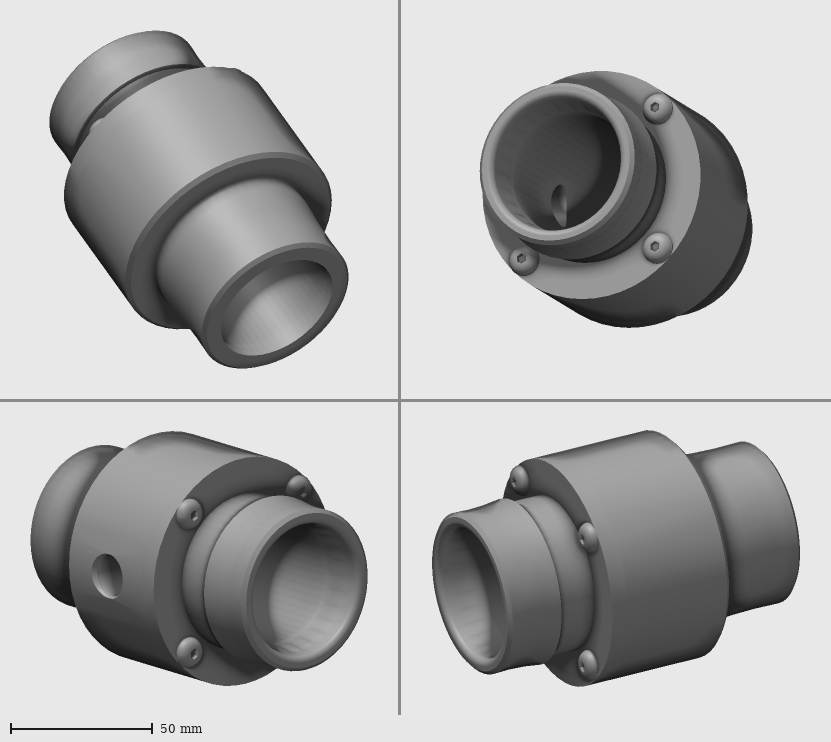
import cadquery as cq
import math


overall_length = 117.47
hose_length = 34.8
plate_thickness = 6.35
body_length = 47.7
plate_face = hose_length
joint_face = plate_face + plate_thickness
body_end = plate_face + body_length

body_diameter = 82.56
bore_diameter = 44.45
body_radius = body_diameter / 2
bore_radius = bore_diameter / 2

stub_radius = 60.33 / 2
end_chamfer_length = 1.3
end_face_radius = 27.95
end_shoulder_radius = 29.35

barb_length = 20.4
barb_waist_radius = 29.2
groove_radius = 56.39 / 2
mouth_fillet = 2.38
mouth_radius = 23.85
mouth_taper_end = 15.5

stub_straight_end = 87.3
stub_waist_radius = 29.25
neck_fillet = 1.4
body_chamfer = 1.5

port_diameter = 15.08
port_mouth_diameter = 17.1
port_countersink_depth = 1.6
port_x = plate_face + 25.4

screw_offset = 71.44 / 2 / math.sqrt(2)
screw_diameter = 6.35
clearance_diameter = 7.14
screw_length = 19.05
head_radius = 11.1 / 2
head_height = 3.35
head_rim_height = 0.7
head_flat_radius = 2.2
socket_flats = 3.3
socket_depth = 2.0

screw_positions = [(y * screw_offset, z * screw_offset) for y in (-1, 1) for z in (-1, 1)]


def turn(profile):
    """Revolve a closed (x, radius) profile about the X axis."""
    return profile.close().revolve(360, (0, 0, 0), (1, 0, 0))


def rod_along_x(diameter, start, length, centers):
    """Cylinders along +X at the given (y, z) centres."""
    return cq.Workplane("YZ", origin=(start, 0, 0)).pushPoints(centers).circle(diameter / 2).extrude(length)


def make_cover():
    """Flange plate with the grooved hose barb and its rounded, tapered mouth."""
    fillet_middle = mouth_fillet * (1 - math.sqrt(0.5))
    profile = (
        cq.Workplane("XY")
        .moveTo(0, mouth_radius + mouth_fillet)
        .lineTo(0, end_face_radius)
        .lineTo(end_chamfer_length, end_shoulder_radius)
        .threePointArc(
            ((end_chamfer_length + barb_length) / 2, barb_waist_radius),
            (barb_length, stub_radius),
        )
        .lineTo(barb_length, groove_radius)
        .lineTo(plate_face, groove_radius)
        .lineTo(plate_face, body_radius)
        .lineTo(joint_face, body_radius)
        .lineTo(joint_face, bore_radius)
        .lineTo(mouth_taper_end, bore_radius)
        .lineTo(mouth_fillet, mouth_radius)
        .threePointArc((fillet_middle, mouth_radius + fillet_middle), (0, mouth_radius + mouth_fillet))
    )
    clearance_holes = rod_along_x(clearance_diameter, plate_face, plate_thickness, screw_positions)
    return turn(profile).cut(clearance_holes)


def make_side_port():
    """Cutter for the countersunk radial port, from the axis out to +Y."""
    hole = cq.Workplane("XZ", origin=(port_x, 0, 0)).circle(port_diameter / 2).extrude(-body_radius)
    countersink = (
        cq.Workplane("XZ", origin=(port_x, body_radius, 0))
        .circle(port_mouth_diameter / 2)
        .workplane(offset=port_countersink_depth)
        .circle(port_diameter / 2)
        .loft()
    )
    return hole.union(countersink)


def make_housing():
    """Round body and outlet stub, with the side port and the tapped holes for the screws."""
    fillet_middle = neck_fillet * (1 - math.sqrt(0.5))
    stub_shoulder = overall_length - end_chamfer_length
    profile = (
        cq.Workplane("XY")
        .moveTo(joint_face, bore_radius)
        .lineTo(joint_face, body_radius)
        .lineTo(body_end - body_chamfer, body_radius)
        .lineTo(body_end, body_radius - body_chamfer)
        .lineTo(body_end, stub_radius + neck_fillet)
        .threePointArc(
            (body_end + fillet_middle, stub_radius + fillet_middle),
            (body_end + neck_fillet, stub_radius),
        )
        .lineTo(stub_straight_end, stub_radius)
        .threePointArc(
            ((stub_straight_end + stub_shoulder) / 2, stub_waist_radius),
            (stub_shoulder, end_shoulder_radius),
        )
        .lineTo(overall_length, end_face_radius)
        .lineTo(overall_length, bore_radius)
    )
    tapped_holes = rod_along_x(screw_diameter, joint_face, screw_length - plate_thickness, screw_positions)
    return turn(profile).cut(tapped_holes).cut(make_side_port())


def make_screw(y, z):
    """Button-head screw pointing along +X with its head seated on the cover plate."""
    head_top = plate_face - head_height
    dome_width = head_radius - head_flat_radius
    dome_height = head_height - head_rim_height
    dome_sweep = 2 * math.atan(dome_height / dome_width)
    dome_radius = dome_width / math.sin(dome_sweep)
    dome_middle = (
        head_top + dome_radius * (1 - math.cos(dome_sweep / 2)),
        head_flat_radius + dome_radius * math.sin(dome_sweep / 2),
    )
    profile = (
        cq.Workplane("XY")
        .moveTo(head_top, 0)
        .lineTo(head_top, head_flat_radius)
        .threePointArc(dome_middle, (plate_face - head_rim_height, head_radius))
        .lineTo(plate_face, head_radius)
        .lineTo(plate_face, screw_diameter / 2)
        .lineTo(plate_face + screw_length, screw_diameter / 2)
        .lineTo(plate_face + screw_length, 0)
    )
    top_plane = cq.Workplane("YZ", origin=(head_top, 0, 0))
    hexagon_corners = socket_flats / math.cos(math.pi / 6)
    hexagon = top_plane.transformed(rotate=(0, 0, 90)).polygon(6, hexagon_corners).extrude(socket_depth)
    return turn(profile).cut(hexagon).translate((0, y, z))


cover = make_cover()
housing = make_housing()
screws = [make_screw(y, z) for y, z in screw_positions]

result = cq.Compound.makeCompound([cover.val(), housing.val(), *[screw.val() for screw in screws]])